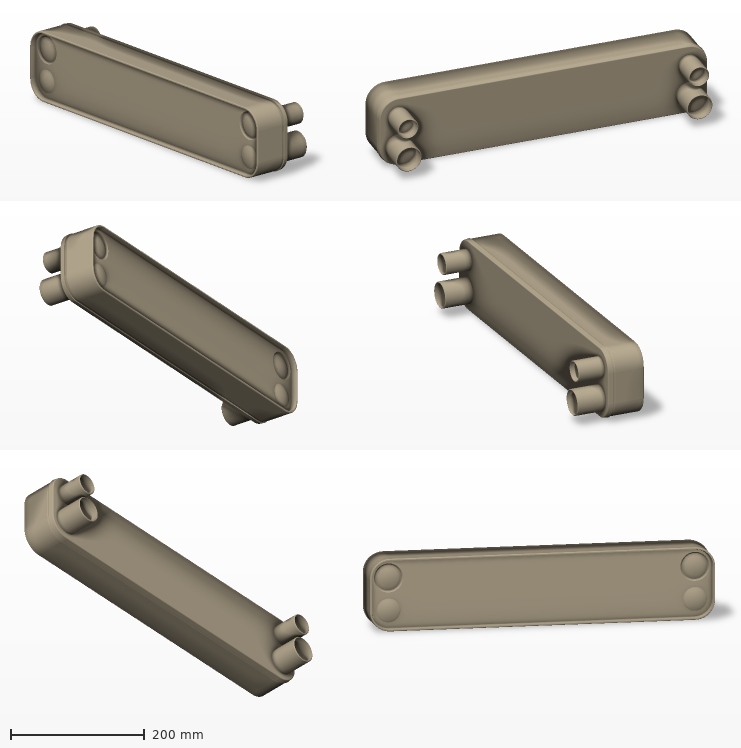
import cadquery as cq


length_x = 527.5
height_z = 113.0
corner_radius = 31.5

pack_taper_start = 47.5
pack_back = 51.5
cover_back = 59.5

pack_inset = 1.0
pack_back_inset = 2.0
cover_back_inset = 1.0
cover_fillet = 1.5

rim_fillet = 1.5
pocket_inset = 2.5
pocket_depth = 11.5

recess_mouth_inset = 3.5
recess_floor_inset = 5.5
recess_depth = 8.5

port_x = 233.0
port_z = 25.0

dome_height = 4.0
upper_dome_diameter = 38.0
lower_dome_diameter = 36.5
dimple_diameter = 44.5
dimple_floor_diameter = 40.0
dimple_depth = 2.5

upper_nozzle_diameter = 33.0
upper_nozzle_tip = 102.0
upper_socket_depth = 19.0
lower_nozzle_diameter = 41.0
lower_nozzle_tip = 105.0
lower_socket_depth = 23.5
lower_pad_height = 1.0
nozzle_chamfer = 1.0
socket_wall = 1.3


def plane_at(y, x=0, z=0):
    """Plane facing +Y whose local axes are global -X and Z."""
    return cq.Workplane(cq.Plane(origin=(x, y, z), xDir=(-1, 0, 0), normal=(0, 1, 0)))


def outline(inset):
    """Rounded rectangle lying inside the widest outline by the given inset."""
    rectangle = cq.Sketch().rect(length_x - 2 * inset, height_z - 2 * inset)
    return rectangle.vertices().fillet(corner_radius - inset)


def straight_plate(inset, y_start, y_end):
    """Plate with the same rounded outline throughout its thickness."""
    return plane_at(y_start).placeSketch(outline(inset)).extrude(y_end - y_start)


def flared_plate(inset_start, y_start, inset_end, y_end):
    """Plate whose rounded outline changes evenly from one inset to the other."""
    end_outline = outline(inset_end).moved(cq.Location(cq.Vector(0, 0, y_end - y_start)))
    return plane_at(y_start).placeSketch(outline(inset_start), end_outline).loft()


def cylinder(x, z, diameter, y_start, y_end):
    """Round bar along Y."""
    return plane_at(y_start, x, z).circle(diameter / 2).extrude(y_end - y_start)


def dome(x, z, diameter, y_base):
    """Spherical cap bulging toward the front from its base circle."""
    base_radius = diameter / 2
    sphere_radius = (base_radius**2 + dome_height**2) / (2 * dome_height)
    sphere = cq.Workplane(obj=cq.Solid.makeSphere(sphere_radius, angleDegrees1=-90))
    sphere = sphere.translate((x, y_base - dome_height + sphere_radius, z))
    return sphere.intersect(cylinder(x, z, diameter, y_base - dome_height, y_base))


def dimple(x, z):
    """Conical depression in the recess floor around an upper dome."""
    mouth = plane_at(recess_depth, x, z).circle(dimple_diameter / 2)
    return mouth.workplane(offset=dimple_depth).circle(dimple_floor_diameter / 2).loft()


def make_plate_pack():
    """Block tapering at its back, with a front pocket for the end plate."""
    pack = straight_plate(pack_inset, 0, pack_taper_start).faces("<Y").edges().fillet(rim_fillet)
    pack = pack.union(flared_plate(pack_inset, pack_taper_start, pack_back_inset, pack_back))
    return pack.cut(straight_plate(pocket_inset, 0, pocket_depth))


def make_end_plate():
    """Tray lining the pocket, with a sloping inner wall and domes at the four ports."""
    plate = straight_plate(pocket_inset, 0, pocket_depth)
    plate = plate.cut(flared_plate(recess_mouth_inset, 0, recess_floor_inset, recess_depth))
    for x in (-port_x, port_x):
        plate = plate.cut(dimple(x, port_z))
        plate = plate.union(dome(x, port_z, upper_dome_diameter, recess_depth + dimple_depth))
        plate = plate.union(dome(x, -port_z, lower_dome_diameter, recess_depth))
    return plate


def make_cover_plate():
    """Flared back plate with a raised pad under each lower nozzle."""
    cover = flared_plate(0, pack_back, cover_back_inset, cover_back).faces(">Y").edges().fillet(cover_fillet)
    for x in (-port_x, port_x):
        pad = cylinder(x, -port_z, lower_nozzle_diameter, cover_back, cover_back + lower_pad_height)
        cover = cover.union(pad)
    return cover


def make_nozzle(x, z, diameter, y_base, y_tip, socket_depth):
    """Round nozzle with a blind socket in its tip."""
    nozzle = cylinder(x, z, diameter, y_base, y_tip).faces(">Y").edges().chamfer(nozzle_chamfer)
    return nozzle.cut(cylinder(x, z, diameter - 2 * socket_wall, y_tip - socket_depth, y_tip))


def make_upper_nozzle(x):
    return make_nozzle(x, port_z, upper_nozzle_diameter, cover_back, upper_nozzle_tip, upper_socket_depth)


def make_lower_nozzle(x):
    """Larger nozzle standing on its pad."""
    base = cover_back + lower_pad_height
    return make_nozzle(x, -port_z, lower_nozzle_diameter, base, lower_nozzle_tip, lower_socket_depth)


plate_pack = make_plate_pack()
end_plate = make_end_plate()
cover_plate = make_cover_plate()

nozzles = []
for port in (-port_x, port_x):
    nozzles.append(make_upper_nozzle(port))
    nozzles.append(make_lower_nozzle(port))

bodies = [plate_pack, end_plate, cover_plate, *nozzles]
result = cq.Compound.makeCompound([body.val() for body in bodies])